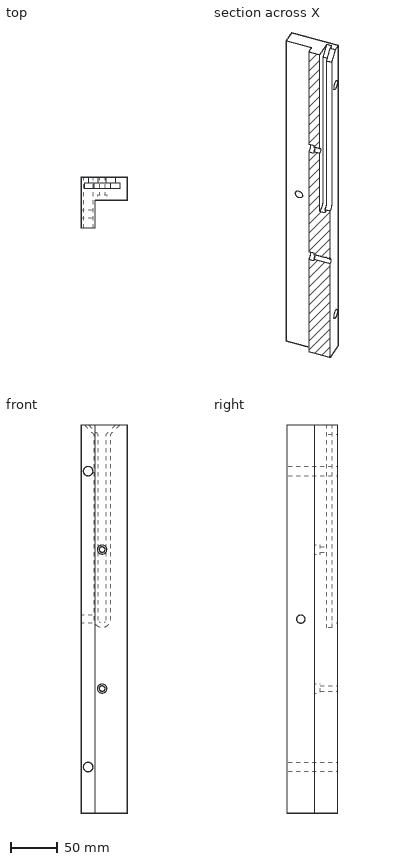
import cadquery as cq

length = 420.0
width = 50.0
depth = 55.0
leg_thickness = 15.0
flange_thickness = 25.0
flange_front = depth - flange_thickness
mid_height = length / 2

mounting_diameter = 10.0
mounting_x = leg_thickness / 2
mounting_end_distance = 50.0

screw_diameter = 6.0
counterbore_diameter = 10.0
counterbore_depth = 6.0
screw_x = 22.5
screw_end_distance = 135.0

cross_diameter = 9.0
cross_y = 15.0

slot_x = screw_x
slot_depth = 12.0
lip_thickness = 6.5
neck_width = 9.0
head_width = 18.0
mouth_flare = 10.0
slot_end_z = mid_height


def make_bar():
    """L profile with the leg pointing to -Y."""
    profile = [
        (0, 0),
        (leg_thickness, 0),
        (leg_thickness, flange_front),
        (width, flange_front),
        (width, depth),
        (0, depth),
    ]
    return cq.Workplane("XY").polyline(profile).close().extrude(length)


def rod_along_y(x, z, diameter, start_y, end_y):
    """Cylinder parallel to Y between two Y positions."""
    axis = cq.Vector(0, 1, 0)
    start = cq.Vector(x, start_y, z)
    return cq.Workplane(obj=cq.Solid.makeCylinder(diameter / 2, end_y - start_y, start, axis))


def both_ends(end_distance):
    """Heights of a feature repeated at the same distance from each end."""
    return (end_distance, length - end_distance)


def slot_layer(layer_width, front_y, back_y):
    """Slot with a round lower end and a 45-degree flare at the top."""
    half = layer_width / 2
    flare_start_z = length - mouth_flare
    outline = (
        cq.Workplane("XZ", origin=(slot_x, back_y, 0))
        .moveTo(-half, slot_end_z)
        .threePointArc((0, slot_end_z - half), (half, slot_end_z))
        .lineTo(half, flare_start_z)
        .lineTo(half + mouth_flare, length)
        .lineTo(-half - mouth_flare, length)
        .lineTo(-half, flare_start_z)
        .close()
    )
    return outline.extrude(back_y - front_y)


bar = make_bar()

neck_front = depth - lip_thickness
bar = bar.cut(slot_layer(neck_width, neck_front, depth))
bar = bar.cut(slot_layer(head_width, depth - slot_depth, neck_front))

for z in both_ends(mounting_end_distance):
    bar = bar.cut(rod_along_y(mounting_x, z, mounting_diameter, 0, depth))

counterbore_end = flange_front + counterbore_depth
for z in both_ends(screw_end_distance):
    bar = bar.cut(rod_along_y(screw_x, z, screw_diameter, flange_front, depth))
    bar = bar.cut(rod_along_y(screw_x, z, counterbore_diameter, flange_front, counterbore_end))

cross_hole = (
    cq.Workplane("YZ")
    .center(cross_y, mid_height)
    .circle(cross_diameter / 2)
    .extrude(leg_thickness)
)
result = bar.cut(cross_hole)